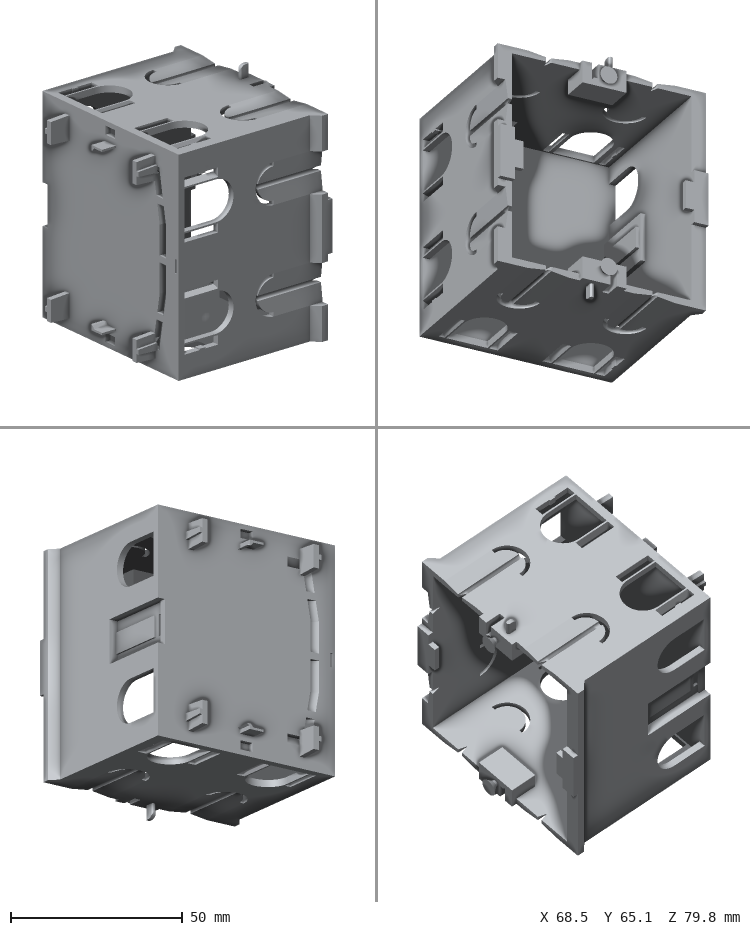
import cadquery as cq

BODY_X = 63.4
BODY_Z = 71.0
RIM_Y = 53.7
WALL = 2.2
HALF_X = BODY_X / 2
HALF_Z = BODY_Z / 2
CUT = 2 * WALL
CLEAR = 1.0

FLANGE_REACH = 2.55
FLANGE_Y = 51.4
FLANGE_FOOT_Y = 48.9

PAD_Y = 55.4
SCREW_PAD_DEPTH = 9.0
SIDE_PAD_HALF_Z = 8.5
SIDE_LIP_HALF_Z = 4.5
SIDE_LIP_INNER_X = 26.7
SCREW_PAD_HALF_X = 7.25
SCREW_PAD_INNER_Z = 28.4

COLUMN = 17.5
ARCH_R = 6.75
ARCH_CENTRE_Y = 13.7
TOP_SILL_Y = 2.8
SIDE_SILL_Y = 2.2
SLOT_LENGTH = 12.5
STRIP = 0.55
OUTER_SLOT_EDGE = 27.8
INNER_SLOT_EDGE = 7.4
OUTER_SLOT_TAPER = 1.1
INNER_SLOT_TAPER = 0.75
LEDGE_WIDTH = 1.1
TOOTH_REACH = 0.4
TOOTH_Y = 7.9
TOOTH_LENGTH = 2.1

LEFT_ARCH_R = 6.8
LEFT_ARCH_Z = 21.0

FLAP_CENTRE_Y = 35.45
FLAP_R = 5.4
FLAP_SINK = 0.9
GROOVE_R = 0.85
NOTCH_Y = 51.0

RECESS_HALF_Z = 6.9
RECESS_Y = 24.3
RECESS_DEPTH = 2.45
RECESS_FLOOR_STEP = 0.6
RECESS_BACKING = 0.8
TONGUE_HALF_Z = 3.35
TONGUE_INNER_X = 26.7
TONGUE_END_Y = 3.9
TONGUE_STEP_Y = 5.5

LEG_LENGTH = 7.0
LEG_X = 19.0
LEG_THICK = 1.85
LEG_Z = 27.9
LEG_HALF_Z = 4.0
LEG_TIP_HALF_Z = 3.6
LEG_RIB = 0.9
LEG_RIB_HALF_Z = 1.2
LEG_RIB_TIP_HALF_Z = 0.8

HOOK_LENGTH = 5.1
HOOK_CORNER = 0.6
HOOK_TOP_Z = 29.1
HOOK_PROFILE = [
    (-2.45, HOOK_TOP_Z), (2.5, HOOK_TOP_Z), (2.5, 28.4), (-1.2, 28.4),
    (-2.05, 27.4), (-3.1, 27.4), (-2.45, 27.9),
]

WINDOW_X = 4.4
WINDOW_Z = 2.8
WINDOW_CENTRE_Z = 32.5
WINDOW_DEPTH = 1.8
SLIT_X = 30.45
SLIT_WIDTH = 0.7
SLIT_HEIGHT = 4.4
RAMP_WINDOW_X = (14.7, 20.8)
RAMP_WINDOW_Z = (25.7, 28.7)

BOW_X = 25.9
BOW_WIDTH = 3.0
BOW_KINK_Z = 10.8
BOW_LEAN = 0.18
BOW_GAPS = [(1.1, 17.1), (19.4, 28.7)]

FIN_X = 3.05
FIN_THICK = 1.35
FIN_Y = 50.35
FIN_HEIGHT = 4.4
FIN_ROUND = 2.0
FIN_CHAMFER = 0.4
SOCKET_WIDTH = 2.1
SOCKET_Y = 50.1
SOCKET_DEPTH = 4.6
SOCKET_GROOVE_WIDTH = 0.6
SOCKET_GROOVE_DEPTH = 0.6

SCREW_Z = 31.25
SCREW_TOP_Y = 58.1
SCREW_CONE_Y = 56.2
HEAD_R = 2.75
NECK_R = 1.2
SHANK_R = 1.05
SHANK_END_Y = 47.4


def block(x, y, z):
    """Box spanning the given (low, high) ranges."""
    return cq.Workplane("XY").box(
        x[1] - x[0], y[1] - y[0], z[1] - z[0], centered=False
    ).translate((x[0], y[0], z[0]))


def prism_y(points, start, end):
    """Outline in (X, Z) run along Y from start to end."""
    return cq.Workplane("XZ").polyline(points).close().extrude(-(end - start)).translate((0, start, 0))


def plate(outline):
    """Outline drawn in (X, Y), run through a wall whose outer face is Z = 0."""
    return outline.extrude(2 * CUT).translate((0, 0, -CUT))


def arch(radius, sill):
    """Round-topped opening cutter, its straight side towards -Y."""
    return plate(
        cq.Workplane("XY")
        .moveTo(-radius, sill)
        .lineTo(radius, sill)
        .lineTo(radius, ARCH_CENTRE_Y)
        .threePointArc((0, ARCH_CENTRE_Y + radius), (-radius, ARCH_CENTRE_Y))
        .close()
    )


def side_slot(strip_edge, far_edge, taper, sill):
    """Slot beside an arch; the strip left next to the arch widens inwards."""
    slope = taper / WALL if far_edge > strip_edge else -taper / WALL
    return prism_y(
        [
            (far_edge, CLEAR),
            (strip_edge - slope * CLEAR, CLEAR),
            (strip_edge + slope * CUT, -CUT),
            (far_edge, -CUT),
        ],
        sill,
        sill + SLOT_LENGTH,
    )


def flap_cutters():
    """Cutters for the gap round a flap, its sunken V faces, its score groove and the end notch."""
    rear = RIM_Y + CLEAR
    outline = plate(
        cq.Workplane("XY")
        .moveTo(-ARCH_R, rear)
        .lineTo(-ARCH_R, FLAP_CENTRE_Y)
        .threePointArc((0, FLAP_CENTRE_Y - ARCH_R), (ARCH_R, FLAP_CENTRE_Y))
        .lineTo(ARCH_R, rear)
        .close()
    )
    start = FLAP_CENTRE_Y - ARCH_R
    vee = prism_y([(-ARCH_R, 0), (ARCH_R, 0), (0, -FLAP_SINK)], start, rear).intersect(outline)
    ring = plate(cq.Workplane("XY").center(0, FLAP_CENTRE_Y).circle(ARCH_R).circle(FLAP_R))
    gap = ring.intersect(block((-ARCH_R, ARCH_R), (start, FLAP_CENTRE_Y), (-CUT, CUT)))
    groove = (
        cq.Workplane("XZ").center(0, -FLAP_SINK).circle(GROOVE_R)
        .extrude(-(rear - start)).translate((0, start, 0)).intersect(outline)
    )
    notch = plate(
        cq.Workplane("XY").polyline([(-GROOVE_R, rear), (GROOVE_R, rear), (GROOVE_R, RIM_Y),
                                     (0, NOTCH_Y), (-GROOVE_R, RIM_Y)]).close()
    )
    return [vee, gap, groove, notch]


def column_cutters(sill):
    """All cutters of the +X column of a patterned wall lying on Z = 0."""
    cutters = [c.translate((COLUMN, 0, 0)) for c in [arch(ARCH_R, sill)] + flap_cutters()]
    outer_strip = COLUMN + ARCH_R + STRIP
    inner_strip = COLUMN - ARCH_R - STRIP
    tooth = block(
        (OUTER_SLOT_EDGE - TOOTH_REACH, OUTER_SLOT_EDGE), (TOOTH_Y, TOOTH_Y + TOOTH_LENGTH), (-CUT, CLEAR)
    )
    cutters.append(side_slot(outer_strip, OUTER_SLOT_EDGE, OUTER_SLOT_TAPER, sill).cut(tooth))
    cutters.append(side_slot(inner_strip, INNER_SLOT_EDGE, INNER_SLOT_TAPER, sill))
    return cutters


def cut_wall_pattern(body, angle, offset, sill):
    """Cut both columns in the wall reached by turning the top wall about Y."""
    for cutter in column_cutters(sill):
        for piece in (cutter, cutter.mirror("YZ")):
            placed = piece.translate((0, 0, offset)).rotate((0, 0, 0), (0, 1, 0), angle)
            body = body.cut(placed)
    return body


def make_shell():
    outer = block((-HALF_X, HALF_X), (0, RIM_Y), (-HALF_Z, HALF_Z))
    inner = block((WALL - HALF_X, HALF_X - WALL), (WALL, RIM_Y + CLEAR), (WALL - HALF_Z, HALF_Z - WALL))
    shell = outer.cut(inner)
    flange = make_flange()
    return shell.union(flange).union(flange.mirror("YZ"))


def make_flange():
    """Bevelled flange over the full height of the +X wall."""
    edge = HALF_X + FLANGE_REACH
    inner = HALF_X - WALL
    return (
        cq.Workplane("XY")
        .polyline([(inner, FLANGE_FOOT_Y), (HALF_X, FLANGE_FOOT_Y), (edge, FLANGE_Y),
                   (edge, RIM_Y), (inner, RIM_Y)])
        .close().extrude(BODY_Z).translate((0, 0, -HALF_Z))
    )


def add_pads(body):
    screw_y = (PAD_Y - SCREW_PAD_DEPTH, PAD_Y)
    rim_y = (RIM_Y, PAD_Y)
    inner_x = HALF_X - WALL
    side_pad = block((inner_x, HALF_X + FLANGE_REACH), rim_y, (-SIDE_PAD_HALF_Z, SIDE_PAD_HALF_Z))
    lip = block((SIDE_LIP_INNER_X, inner_x), rim_y, (-SIDE_LIP_HALF_Z, SIDE_LIP_HALF_Z))
    side_pad = side_pad.union(lip)
    screw_pad = block((-SCREW_PAD_HALF_X, SCREW_PAD_HALF_X), screw_y, (SCREW_PAD_INNER_Z, HALF_Z))
    for pad in (side_pad, side_pad.mirror("YZ"), screw_pad, screw_pad.mirror("XY")):
        body = body.union(pad)
    return body


def cut_flange_gaps(body):
    """Remove the +X flange where the flaps of that wall run out."""
    for side in (-1, 1):
        gap = block(
            (HALF_X, HALF_X + FLANGE_REACH + CLEAR),
            (FLANGE_FOOT_Y, RIM_Y + CLEAR),
            (side * COLUMN - ARCH_R, side * COLUMN + ARCH_R),
        )
        body = body.cut(gap)
    return body


def cut_left_arches(body):
    hole = arch(LEFT_ARCH_R, SIDE_SILL_Y).rotate((0, 0, 0), (0, 1, 0), -90)
    for side in (-1, 1):
        body = body.cut(hole.translate((-HALF_X, 0, side * LEFT_ARCH_Z)))
    return body


def add_left_recess(body):
    """Recess open to the front, with a raised tongue stepping down to a gap in its floor."""
    mouth_x = -HALF_X + RECESS_DEPTH
    floor_x = mouth_x + RECESS_FLOOR_STEP
    back_x = floor_x + RECESS_BACKING
    outer_half_z = RECESS_HALF_Z + RECESS_BACKING
    recess_z = (-RECESS_HALF_Z, RECESS_HALF_Z)
    tongue_z = (-TONGUE_HALF_Z, TONGUE_HALF_Z)
    backing = block((-HALF_X, back_x), (0, RECESS_Y + RECESS_BACKING), (-outer_half_z, outer_half_z))
    mouth = block((-HALF_X - CLEAR, mouth_x), (-CLEAR, RECESS_Y), recess_z)
    floor = block((mouth_x, floor_x), (SIDE_SILL_Y, RECESS_Y), recess_z)
    tongue_gap = block((floor_x, back_x), (SIDE_SILL_Y, TONGUE_END_Y), tongue_z)
    tongue = block((mouth_x, -TONGUE_INNER_X), (TONGUE_STEP_Y, RECESS_Y), tongue_z)
    body = body.union(backing).cut(mouth).cut(floor).cut(tongue_gap)
    return body.union(tongue)


def tapered_bar(x, half, tip_half):
    """Bar on the front face, narrowing in Z towards its tip."""
    points = [(0, -half), (0, half), (-LEG_LENGTH, tip_half), (-LEG_LENGTH, -tip_half)]
    return (
        cq.Workplane("YZ").polyline(points).close()
        .extrude(x[1] - x[0]).translate((x[0], 0, LEG_Z))
    )


def add_legs(body):
    rib_x = LEG_X + LEG_THICK
    leg = tapered_bar((LEG_X, rib_x), LEG_HALF_Z, LEG_TIP_HALF_Z)
    leg = leg.union(tapered_bar((rib_x, rib_x + LEG_RIB), LEG_RIB_HALF_Z, LEG_RIB_TIP_HALF_Z))
    for upper in (leg, leg.mirror("YZ")):
        body = body.union(upper).union(upper.mirror("XY"))
    return body


def add_hooks(body):
    hook = prism_y(HOOK_PROFILE, -HOOK_LENGTH, 0)
    lip_x = min(x for x, z in HOOK_PROFILE)
    corner = (
        cq.Workplane("XY")
        .polyline([(lip_x, -HOOK_LENGTH), (lip_x + HOOK_CORNER, -HOOK_LENGTH),
                   (lip_x, -HOOK_LENGTH + HOOK_CORNER)])
        .close().extrude(HALF_Z)
    )
    hook = hook.cut(corner)
    return body.union(hook).union(hook.mirror("XY"))


def cut_front_openings(body):
    through = (-CLEAR, WALL)
    half_window = WINDOW_X / 2
    window = block(
        (-half_window, half_window), (-CLEAR, WINDOW_DEPTH),
        (WINDOW_CENTRE_Z - WINDOW_Z / 2, WINDOW_CENTRE_Z + WINDOW_Z / 2),
    )
    slit = block(
        (SLIT_X - SLIT_WIDTH / 2, SLIT_X + SLIT_WIDTH / 2), through, (-SLIT_HEIGHT / 2, SLIT_HEIGHT / 2)
    )
    low, high = RAMP_WINDOW_Z
    ramp = (
        cq.Workplane("YZ").polyline([(0, high), (0, low), (WALL, low)]).close()
        .extrude(RAMP_WINDOW_X[1] - RAMP_WINDOW_X[0]).translate((RAMP_WINDOW_X[0], 0, 0))
    )
    body = body.cut(slit)
    for opening in (window, ramp):
        body = body.cut(opening).cut(opening.mirror("XY"))
    return body


def bow_edge(z):
    """Outer edge of the bow at height z."""
    return BOW_X - BOW_LEAN * max(0, z - BOW_KINK_Z)


def bow_piece(low, high):
    """Ramped slot between two heights, deepest along its inner edge."""
    def section(z):
        edge = bow_edge(z)
        corners = [(edge, 0), (edge - BOW_WIDTH, 0), (edge - BOW_WIDTH, WALL)]
        return cq.Wire.makePolygon([cq.Vector(x, y, z) for x, y in corners], close=True)
    return cq.Workplane(obj=cq.Solid.makeLoft([section(low), section(high)], True))


def cut_bow(body):
    for low, high in BOW_GAPS:
        stops = [low, BOW_KINK_Z, high] if low < BOW_KINK_Z < high else [low, high]
        for start, end in zip(stops, stops[1:]):
            piece = bow_piece(start, end)
            body = body.cut(piece).cut(piece.mirror("XY"))
    return body


def add_ledge(body):
    """Ledge along the far edge of the +X outer slot in the bottom wall."""
    ledge = block(
        (OUTER_SLOT_EDGE - LEDGE_WIDTH, OUTER_SLOT_EDGE),
        (TOP_SILL_Y, TOP_SILL_Y + SLOT_LENGTH),
        (-HALF_Z, WALL - HALF_Z),
    )
    return body.union(ledge)


def add_couplings(body):
    """Fin and grooved socket on the top wall, repeated half a turn round on the bottom."""
    fin = block(
        (-FIN_X - FIN_THICK / 2, -FIN_X + FIN_THICK / 2), (FIN_Y, RIM_Y), (HALF_Z, HALF_Z + FIN_HEIGHT)
    )
    rounded = fin.edges("|X and >Z and <Y").fillet(FIN_ROUND)
    fin = fin.edges("|Z").chamfer(FIN_CHAMFER).intersect(rounded)
    socket_edge = FIN_X + SOCKET_WIDTH / 2
    socket_y = (SOCKET_Y, PAD_Y + CLEAR)
    floor_z = HALF_Z - SOCKET_DEPTH
    groove_x = (socket_edge - SOCKET_GROOVE_WIDTH, socket_edge)
    socket = block((socket_edge - SOCKET_WIDTH, socket_edge), socket_y, (floor_z, HALF_Z + CLEAR))
    socket = socket.union(block(groove_x, socket_y, (floor_z - SOCKET_GROOVE_DEPTH, HALF_Z)))
    for angle in (0, 180):
        body = body.union(fin.rotate((0, 0, 0), (0, 1, 0), angle))
        body = body.cut(socket.rotate((0, 0, 0), (0, 1, 0), angle))
    return body


def make_screw(side):
    """Countersunk screw along Y, in the top (+1) or bottom (-1) pad."""
    return (
        cq.Workplane("XY")
        .polyline([(0, SHANK_END_Y), (SHANK_R, SHANK_END_Y), (SHANK_R, PAD_Y), (NECK_R, SCREW_CONE_Y),
                   (HEAD_R, SCREW_TOP_Y), (0, SCREW_TOP_Y)])
        .close().revolve(360, (0, 0, 0), (0, 1, 0)).translate((0, 0, side * SCREW_Z))
    )


def make_housing():
    body = add_pads(make_shell())
    body = cut_flange_gaps(body)
    body = cut_wall_pattern(body, 0, HALF_Z, TOP_SILL_Y)
    body = cut_wall_pattern(body, 180, HALF_Z, TOP_SILL_Y)
    body = cut_wall_pattern(body, 90, HALF_X, SIDE_SILL_Y)
    body = cut_left_arches(body)
    body = add_left_recess(body)
    body = cut_front_openings(body)
    body = cut_bow(body)
    body = add_legs(body)
    body = add_hooks(body)
    body = add_ledge(body)
    return add_couplings(body)


screws = [make_screw(side) for side in (1, -1)]
housing = make_housing()
for screw in screws:
    housing = housing.cut(screw)

result = cq.Compound.makeCompound([housing.solids().val(), *[screw.val() for screw in screws]])